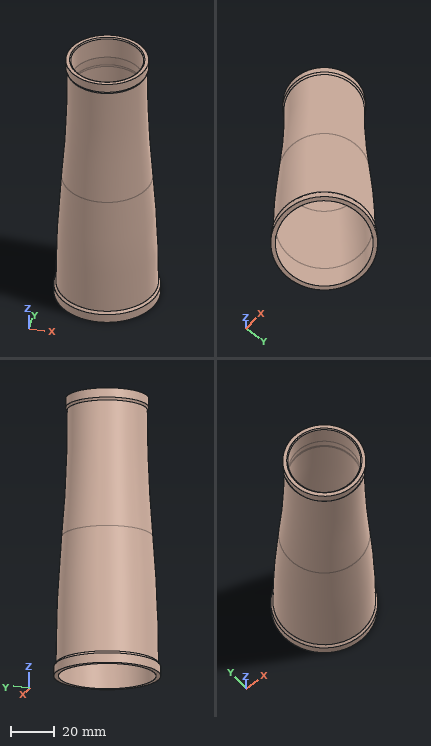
import cadquery as cq

height = 130.8
mid_height = height / 2

neck_radius = 18.3
body_radius = 23.4
top_band_radius = 19.0
foot_band_radius = 24.4
band_height = 4.5
band_end = 5.6

wall = 1.2
bore_radius = 16.6
mouth_chamfer = 0.5
bore_depth = 10.9
relief_depth = 15.5
inner_curve_end = 16.5

inner_neck_radius = neck_radius - wall
inner_body_radius = body_radius - wall


def s_curve(profile, start_radius, start_z, end_radius, end_z):
    """Add two parabolas that meet tangentially at mid height and are vertical at both ends."""
    start = (start_radius, start_z)
    start_control = (start_radius, (start_z + mid_height) / 2)
    middle = ((start_radius + end_radius) / 2, mid_height)
    end_control = (end_radius, (end_z + mid_height) / 2)
    end = (end_radius, end_z)
    profile = profile.bezier([start, start_control, middle])
    return profile.bezier([middle, end_control, end])


section = (
    cq.Workplane("XZ")
    .moveTo(inner_body_radius, 0)
    .lineTo(foot_band_radius, 0)
    .lineTo(foot_band_radius, band_height)
    .lineTo(body_radius, band_end)
)
section = s_curve(section, body_radius, band_end, neck_radius, height - band_end)
section = (
    section.lineTo(top_band_radius, height - band_height)
    .lineTo(top_band_radius, height)
    .lineTo(bore_radius + mouth_chamfer, height)
    .lineTo(bore_radius, height - mouth_chamfer)
    .lineTo(bore_radius, height - bore_depth)
    .lineTo(inner_neck_radius, height - relief_depth)
    .lineTo(inner_neck_radius, height - inner_curve_end)
)
section = s_curve(
    section, inner_neck_radius, height - inner_curve_end, inner_body_radius, inner_curve_end
)

result = section.close().revolve(360, (0, 0, 0), (0, 1, 0))